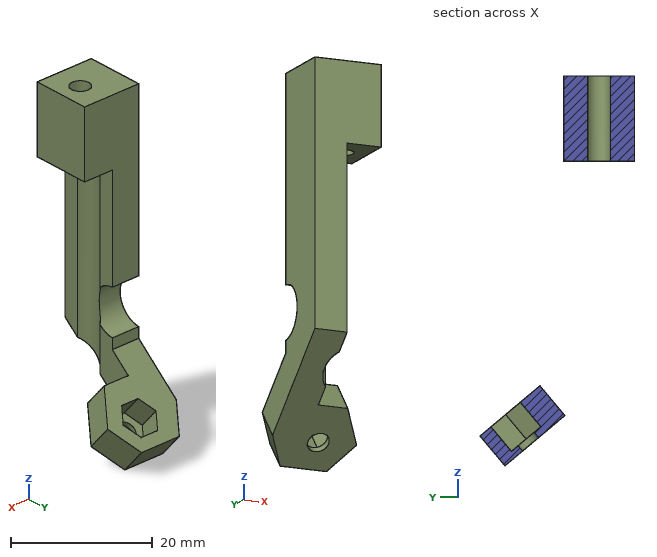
import cadquery as cq
import math

total_height = 54.95
column_width = 5.0
column_depth = 10.0
head_width = 10.3
head_height = 12.05

arm_angle = 40.0
arm_length = 23.85
arm_thickness = 5.5
arm_width = 13.0
pad_length = 11.05
tip_corner_length = 5.05
corner_slope = math.tan(math.radians(60))

screw_diameter = 3.2
nut_corner_diameter = 6.2
channel_diameter = 5.65
head_screw_x = 6.6
head_screw_y = column_depth / 2
arm_screw_x = 7.2
arm_screw_from_tip = 4.7
arm_nut_depth = 4.5

notch_radius = 4.05
notch_y = column_depth + 0.15
notch_z = 20.05

angle = math.radians(arm_angle)
bend_z = arm_length * math.sin(angle)
head_bottom = total_height - head_height
arm_top_z = bend_z + arm_thickness / math.cos(angle) - column_depth * math.tan(angle)


def make_column():
    """Upright column, cut off below where the arm starts, square to the arm."""
    outline = [
        (0, bend_z),
        (0, total_height),
        (column_depth, total_height),
        (column_depth, arm_top_z),
        (arm_thickness * math.sin(angle), bend_z + arm_thickness * math.cos(angle)),
    ]
    return cq.Workplane("YZ").polyline(outline).close().extrude(column_width)


def make_head():
    """Square head overhanging the column on its +X side."""
    return cq.Workplane("XY", origin=(0, 0, head_bottom)).box(
        head_width, column_depth, head_height, centered=False
    )


def arm_plane():
    """Underside of the arm: local x across it, local y from the bend to the tip."""
    return cq.Plane(
        origin=(0, 0, bend_z),
        xDir=(1, 0, 0),
        normal=(0, math.sin(angle), math.cos(angle)),
    )


def make_arm():
    """Inclined arm with a wider pad and sloping corners at its tip."""
    pad_start = arm_length - pad_length
    corner_start = arm_length - tip_corner_length
    tip_inset = tip_corner_length / corner_slope
    pad_inset = (corner_start - pad_start) / corner_slope
    outline = [
        (0, 0),
        (column_width, 0),
        (column_width, pad_start),
        (arm_width - pad_inset, pad_start),
        (arm_width, corner_start),
        (arm_width - tip_inset, arm_length),
        (tip_inset, arm_length),
        (0, corner_start),
    ]
    return cq.Workplane(arm_plane()).polyline(outline).close().extrude(arm_thickness)


def arm_fastener_cut():
    """Screw hole through the arm with a nut pocket in its upper face."""
    center = (arm_screw_x, arm_length - arm_screw_from_tip)
    screw = cq.Workplane(arm_plane()).center(*center).circle(screw_diameter / 2).extrude(arm_thickness)
    pocket = (
        cq.Workplane(arm_plane())
        .workplane(offset=arm_thickness - arm_nut_depth)
        .center(*center)
        .polygon(6, nut_corner_diameter)
        .extrude(arm_nut_depth)
    )
    return screw.union(pocket)


def head_screw_cut():
    """Vertical screw hole through the head."""
    return (
        cq.Workplane("XY", origin=(head_screw_x, head_screw_y, head_bottom))
        .circle(screw_diameter / 2)
        .extrude(head_height)
    )


def access_channel_cut():
    """Round channel in the column's side, below the head and on the screw axis."""
    return (
        cq.Workplane("XY", origin=(head_screw_x, head_screw_y, 0))
        .circle(channel_diameter / 2)
        .extrude(head_bottom)
    )


def notch_cut():
    """Round notch across the full width of the column's back."""
    return cq.Workplane("YZ").center(notch_y, notch_z).circle(notch_radius).extrude(column_width)


body = make_column().union(make_head()).union(make_arm())
result = body.cut(notch_cut()).cut(access_channel_cut())
result = result.cut(head_screw_cut()).cut(arm_fastener_cut())